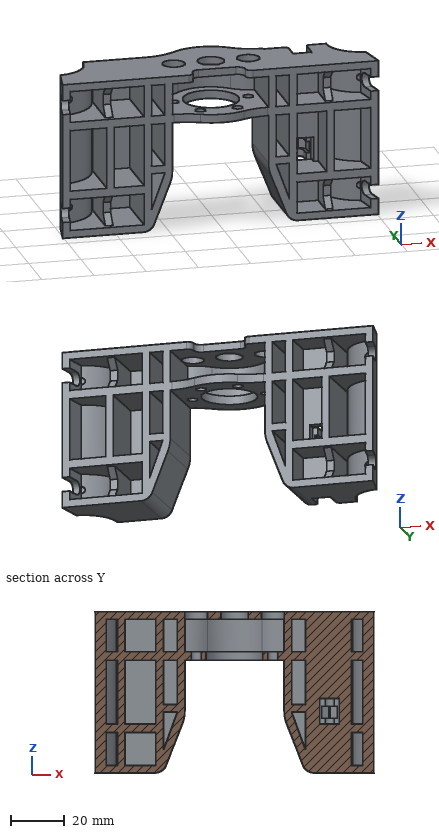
import cadquery as cq
import math

HEIGHT = 60.0
HALF_LENGTH = 60.5
WALL = 2.9
RIB = 3.3
FRONT_Y = -14.9
BACK_Y = 10.0

HUMP_R = 17.5
HUMP_BLEND_R = 20.0
HUMP_POCKET_BLEND_R = 12.7
BUMP_R = 19.0
BUMP_BLEND_R = 21.8
SCOOP_R = 12.9
SCOOP_X = 59.5
SCOOP_Y = 9.7
SIDE_END_X = 58.4
SIDE_END_Y = SCOOP_Y - math.sqrt(SCOOP_R**2 - (SCOOP_X - SIDE_END_X)**2)
END_LEAN = (HALF_LENGTH - SIDE_END_X) / (SIDE_END_Y - FRONT_Y)

LEG_INNER_X = 18.4
COLUMN_INNER_X = 21.3
COLUMN_OUTER_X = 26.4
BAY_INNER_X = 29.3
BAY_OUTER_X = HALF_LENGTH - WALL
UPRIGHT_INNER_X = 40.6
UPRIGHT_OUTER_X = UPRIGHT_INNER_X + WALL
PLATE_BOTTOM_Z = HEIGHT - WALL
UPPER_RIB_Z = 41.8
LOWER_RIB_Z = 15.0
COLUMN_RIB_Z = 22.6
KNEE_Z = 20.7
TOE_X = 26.5
KNEE_R = 13.3
TOE_R = 4.6
COLUMN_TIP_Z = 8.7

HUB_D = 10.0
RING_D = 21.0
SCREW_D = 3.9
ACCESS_D = 8.5
SIDE_SCREW_X = 14.3
FRONT_SCREW_X = 7.1
FRONT_SCREW_Y = -12.3
NOTCH_R = 2.9
NOTCH_FLARE_R = 2.2

SLOT_WIDTH = 5.5
SLOT_DEPTH = 8.7
SLOT_REACH = 4.8
RELIEF_TIP_Y = -5.3
RELIEF_START_X = 53.2
RELIEF_LENGTH = 2.7
SLOT_Z = 9.0
WEB_FOOT_Y = -12.7
WEB_FLAT_Y = -9.1
WEB_FLAT_HEIGHT = 4.0

HOLDER_X = 35.3
CHANNEL_WIDTH = 7.1
CHANNEL_FRONT_Y = 1.2
RECESS_DEPTH = 0.7
RECESS_START_X = 22.7
CHAMFER = 1.0
HOLDER_FRONT_Y = 2.4
HOLDER_TOP_Z = 27.7
NUT_Z = 22.6
NUT_HEIGHT = 4.4
NUT_FLATS = 5.7
BOLT_SLOT_WIDTH = 3.4
BOLT_Y = 6.2

OVERSHOOT = 6.0


def box(x0, x1, y0, y1, z0, z1):
    return cq.Workplane("XY").box(x1 - x0, y1 - y0, z1 - z0, centered=False).translate((x0, y0, z0))


def upright_cylinder(x, y, diameter, z0, z1):
    return cq.Workplane("XY", origin=(x, y, z0)).circle(diameter / 2).extrude(z1 - z0)


def mirrored(solid):
    return solid.union(solid.mirror("YZ"))


def edges_near(x, z):
    """Selector for the front-to-back edges along one point of the front layout."""
    reach = HALF_LENGTH
    margin = RIB / 2
    return cq.selectors.BoxSelector((x - margin, -reach, z - margin), (x + margin, reach, z + margin))


def tangent_blend(lobe_r, blend_r, flat_distance):
    """Where a lobe about the hub meets its blend arc, the middle of that arc, and where it meets the flat."""
    angle = math.acos((flat_distance + blend_r) / (lobe_r + blend_r))
    center_x = (lobe_r + blend_r) * math.sin(angle)
    center_y = flat_distance + blend_r
    lobe_point = (lobe_r * math.sin(angle), lobe_r * math.cos(angle))
    middle = (center_x - blend_r * math.sin(angle / 2), center_y - blend_r * math.cos(angle / 2))
    return lobe_point, middle, (center_x, flat_distance)


def plan_solid(inset, front_y, hump_blend_r):
    """Full-height solid on the plan outline, with its end, corner and back faces moved inward by inset."""
    shift = inset * math.hypot(1, END_LEAN)
    radius = SCOOP_R + inset
    back = BACK_Y - inset

    def side_x(y):
        return HALF_LENGTH - shift - END_LEAN * (y - FRONT_Y)

    a = side_x(0) - SCOOP_X
    half_b = a * END_LEAN + SCOOP_Y
    square = 1 + END_LEAN**2
    end_y = (half_b - math.sqrt(half_b**2 - square * (a**2 + SCOOP_Y**2 - radius**2))) / square
    end = (side_x(end_y), end_y)
    corner = (SCOOP_X - math.sqrt(radius**2 - (back - SCOOP_Y)**2), back)
    middle_angle = math.radians(225)
    scoop_mid = (SCOOP_X + radius * math.cos(middle_angle), SCOOP_Y + radius * math.sin(middle_angle))
    lobe, blend, flat = tangent_blend(HUMP_R - inset, hump_blend_r, back)

    def left(point):
        return (-point[0], point[1])

    outline = (
        cq.Workplane("XY")
        .moveTo(-side_x(front_y), front_y)
        .lineTo(side_x(front_y), front_y)
        .lineTo(*end)
        .threePointArc(scoop_mid, corner)
        .lineTo(*flat)
        .threePointArc(blend, lobe)
        .threePointArc((0, HUMP_R - inset), left(lobe))
        .threePointArc(left(blend), left(flat))
        .lineTo(*left(corner))
        .threePointArc(left(scoop_mid), left(end))
        .close()
    )
    return outline.extrude(HEIGHT)


def leg_opening():
    """Gap between the legs, under the lower plate."""
    half = (
        cq.Workplane("XZ", origin=(0, 2 * HUMP_R, 0))
        .moveTo(0, UPPER_RIB_Z)
        .lineTo(LEG_INNER_X, UPPER_RIB_Z)
        .lineTo(LEG_INNER_X, KNEE_Z)
        .lineTo(TOE_X, 0)
        .lineTo(0, 0)
        .close()
        .extrude(4 * HUMP_R)
    )
    half = half.edges(edges_near(LEG_INNER_X, KNEE_Z)).fillet(KNEE_R)
    return mirrored(half)


def front_pockets():
    """Pockets opening to the front, as straight prisms before they are trimmed to the back wall."""
    front = FRONT_Y - OVERSHOOT
    back = HUMP_R
    upper_rib_top = UPPER_RIB_Z + RIB
    lower_rib_top = LOWER_RIB_Z + RIB
    openings = [
        (BAY_INNER_X, BAY_OUTER_X, upper_rib_top, PLATE_BOTTOM_Z),
        (BAY_INNER_X, BAY_OUTER_X, WALL, LOWER_RIB_Z),
        (BAY_INNER_X, UPRIGHT_INNER_X, lower_rib_top, UPPER_RIB_Z),
        (UPRIGHT_OUTER_X, BAY_OUTER_X, lower_rib_top, UPPER_RIB_Z),
        (COLUMN_INNER_X, COLUMN_OUTER_X, upper_rib_top, PLATE_BOTTOM_Z),
        (COLUMN_INNER_X, COLUMN_OUTER_X, COLUMN_RIB_Z + WALL, UPPER_RIB_Z),
    ]
    pockets = box(-LEG_INNER_X, LEG_INNER_X, front, back, upper_rib_top, PLATE_BOTTOM_Z)
    for x0, x1, z0, z1 in openings:
        pockets = pockets.union(mirrored(box(x0, x1, front, back, z0, z1)))
    triangle = (
        cq.Workplane("XZ", origin=(0, back, 0))
        .moveTo(COLUMN_INNER_X, COLUMN_RIB_Z)
        .lineTo(COLUMN_OUTER_X, COLUMN_RIB_Z)
        .lineTo(COLUMN_OUTER_X, COLUMN_TIP_Z)
        .close()
        .extrude(back - front)
    )
    return pockets.union(mirrored(triangle))


def notched_webs():
    """Webs across the upper and lower bays, each with a tapered notch in its front edge."""
    webs = cq.Workplane("XY")
    for z0, z1 in [(WALL, LOWER_RIB_Z), (UPPER_RIB_Z + RIB, PLATE_BOTTOM_Z)]:
        middle = (z0 + z1) / 2
        half_flat = WEB_FLAT_HEIGHT / 2
        web = (
            cq.Workplane("YZ", origin=(UPRIGHT_INNER_X, 0, 0))
            .polyline([
                (BACK_Y - WALL, z0), (WEB_FOOT_Y, z0), (WEB_FLAT_Y, middle - half_flat),
                (WEB_FLAT_Y, middle + half_flat), (WEB_FOOT_Y, z1), (BACK_Y - WALL, z1),
            ])
            .close()
            .extrude(WALL)
        )
        webs = webs.union(mirrored(web))
    return webs


def rod_slots():
    """Round-bottomed slots square to the leaning end walls, each with a short rod relief behind it."""
    radius = SLOT_WIDTH / 2
    center_y = FRONT_Y + SLOT_DEPTH - radius
    face_x = HALF_LENGTH - END_LEAN * (center_y - FRONT_Y)
    relief_y = RELIEF_TIP_Y - radius
    slots = cq.Workplane("XY")
    for z in (SLOT_Z, HEIGHT - SLOT_Z):
        slot = (
            cq.Workplane("YZ")
            .circle(radius)
            .extrude(SLOT_REACH, both=True)
            .union(box(-SLOT_REACH, SLOT_REACH, -SLOT_DEPTH - OVERSHOOT, 0, -radius, radius))
            .rotate((0, 0, 0), (0, 0, 1), math.degrees(math.atan(END_LEAN)))
            .translate((face_x, center_y, z))
        )
        relief = (
            cq.Workplane("YZ", origin=(RELIEF_START_X, relief_y, z))
            .circle(radius)
            .extrude(RELIEF_LENGTH)
        )
        slots = slots.union(mirrored(slot.union(relief)))
    return slots


def front_lobe():
    """Rounded front edge of the lower plate."""
    lobe, blend, flat = tangent_blend(BUMP_R, BUMP_BLEND_R, -FRONT_Y)
    return (
        cq.Workplane("XY", origin=(0, 0, UPPER_RIB_Z))
        .moveTo(-flat[0], FRONT_Y)
        .threePointArc((-blend[0], -blend[1]), (-lobe[0], -lobe[1]))
        .threePointArc((0, -BUMP_R), (lobe[0], -lobe[1]))
        .threePointArc((blend[0], -blend[1]), (flat[0], FRONT_Y))
        .close()
        .extrude(RIB)
    )


def hub_holes():
    """Hub bore, screw holes and the wider screwdriver access holes above the side screws."""
    holes = upright_cylinder(0, 0, HUB_D, PLATE_BOTTOM_Z, HEIGHT)
    plate_bottom = UPPER_RIB_Z
    plate_top = UPPER_RIB_Z + RIB
    holes = holes.union(upright_cylinder(0, 0, RING_D, plate_bottom, plate_top))
    for side in (-1, 1):
        holes = holes.union(upright_cylinder(side * SIDE_SCREW_X, 0, ACCESS_D, PLATE_BOTTOM_Z, HEIGHT))
        holes = holes.union(upright_cylinder(side * SIDE_SCREW_X, 0, SCREW_D, plate_bottom, plate_top))
        holes = holes.union(
            upright_cylinder(side * FRONT_SCREW_X, FRONT_SCREW_Y, SCREW_D, plate_bottom, plate_top))
    return holes


def front_notch():
    """Notch in the front edge of the top plate that clears the two front screws."""
    side_x = FRONT_SCREW_X + NOTCH_R
    flare_x = side_x + NOTCH_FLARE_R
    flare_y = FRONT_Y + NOTCH_FLARE_R
    top_y = FRONT_SCREW_Y + NOTCH_R
    diagonal = math.sqrt(0.5)
    flare_mid = (flare_x - NOTCH_FLARE_R * diagonal, flare_y - NOTCH_FLARE_R * diagonal)
    corner_mid = (FRONT_SCREW_X + NOTCH_R * diagonal, FRONT_SCREW_Y + NOTCH_R * diagonal)
    half = (
        cq.Workplane("XY", origin=(0, 0, PLATE_BOTTOM_Z))
        .moveTo(0, FRONT_Y)
        .lineTo(flare_x, FRONT_Y)
        .threePointArc(flare_mid, (side_x, flare_y))
        .lineTo(side_x, FRONT_SCREW_Y)
        .threePointArc(corner_mid, (FRONT_SCREW_X, top_y))
        .lineTo(0, top_y)
        .close()
        .extrude(WALL)
    )
    return mirrored(half)


def nut_channel():
    """Shallow recess of the back face and the deep channel in it, over the full height."""
    x0 = HOLDER_X - CHANNEL_WIDTH / 2
    x1 = HOLDER_X + CHANNEL_WIDTH / 2
    face_y = BACK_Y - RECESS_DEPTH
    return (
        cq.Workplane("XY")
        .polyline([
            (RECESS_START_X - RECESS_DEPTH, BACK_Y), (RECESS_START_X, face_y), (x0 - CHAMFER, face_y),
            (x0, face_y - CHAMFER), (x0, CHANNEL_FRONT_Y), (x1, CHANNEL_FRONT_Y),
            (x1, BACK_Y - CHAMFER), (x1 + CHAMFER, BACK_Y),
            (x1, HUMP_R), (RECESS_START_X, HUMP_R),
        ])
        .close()
        .extrude(HEIGHT)
    )


def nut_holder():
    """Block across the channel with a bolt slot and a hexagonal nut pocket, both open to the front."""
    x0 = HOLDER_X - CHANNEL_WIDTH / 2
    x1 = HOLDER_X + CHANNEL_WIDTH / 2
    bottom_z = 2 * NUT_Z - HOLDER_TOP_Z
    block = box(x0 - CHAMFER, x1, HOLDER_FRONT_Y, BACK_Y - RECESS_DEPTH, bottom_z, HOLDER_TOP_Z)
    half_slot = BOLT_SLOT_WIDTH / 2
    slot = upright_cylinder(HOLDER_X, BOLT_Y, BOLT_SLOT_WIDTH, bottom_z, HOLDER_TOP_Z).union(
        box(HOLDER_X - half_slot, HOLDER_X + half_slot, HOLDER_FRONT_Y, BOLT_Y, bottom_z, HOLDER_TOP_Z))
    half_nut = NUT_FLATS / 2
    nut_bottom = NUT_Z - NUT_HEIGHT / 2
    nut_top = NUT_Z + NUT_HEIGHT / 2
    nut = (
        cq.Workplane("XY", origin=(HOLDER_X, BOLT_Y, nut_bottom))
        .transformed(rotate=(0, 0, 90))
        .polygon(6, NUT_FLATS / math.cos(math.pi / 6))
        .extrude(NUT_HEIGHT)
    ).union(box(HOLDER_X - half_nut, HOLDER_X + half_nut, HOLDER_FRONT_Y, BOLT_Y, nut_bottom, nut_top))
    return block.cut(slot).cut(nut)


pocket_space = plan_solid(WALL, FRONT_Y - OVERSHOOT, HUMP_POCKET_BLEND_R)
channel_wall = box(BAY_INNER_X, UPRIGHT_OUTER_X, CHANNEL_FRONT_Y - WALL, BACK_Y, 0, HEIGHT)
nut_window = box(
    HOLDER_X - CHANNEL_WIDTH / 2, HOLDER_X + CHANNEL_WIDTH / 2,
    CHANNEL_FRONT_Y - WALL, CHANNEL_FRONT_Y, LOWER_RIB_Z + RIB, HOLDER_TOP_Z,
)

body = plan_solid(0, FRONT_Y, HUMP_BLEND_R).cut(leg_opening())
for toe_x in (-TOE_X, TOE_X):
    body = body.edges(edges_near(toe_x, 0)).fillet(TOE_R)
body = body.cut(front_pockets().intersect(pocket_space).cut(channel_wall))
body = body.union(notched_webs()).union(front_lobe())
body = body.cut(rod_slots()).cut(hub_holes()).cut(front_notch())
result = body.cut(nut_channel()).cut(nut_window).union(nut_holder())